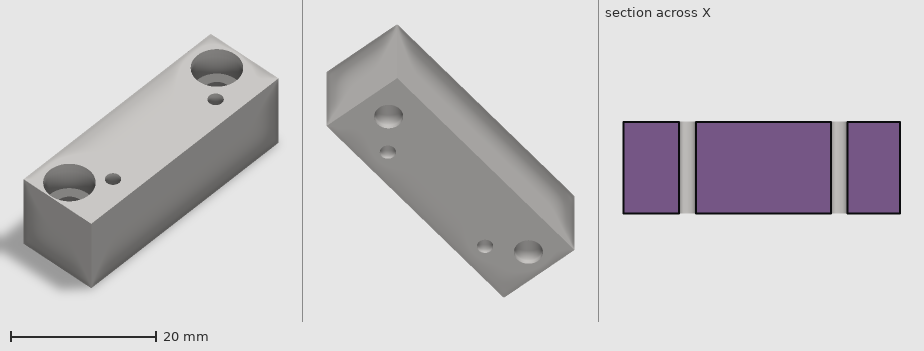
import cadquery as cq

LENGTH = 38.1
WIDTH = 12.7
HEIGHT = 12.7

SCREW_DIAMETER = 4.0
COUNTERBORE_DIAMETER = 7.25
COUNTERBORE_DEPTH = 4.8
SCREW_X = -1.25
SCREW_PITCH = 30.02

PIN_DIAMETER = 2.25
PIN_X = 2.7
PIN_PITCH = 20.88

PAIR_CENTER_Y = -0.23


def pair_points(x, pitch):
    """Return two hole centres spaced along Y about the shared mid-plane."""
    return [(x, PAIR_CENTER_Y + side * pitch / 2) for side in (-1, 1)]


block = cq.Workplane("XY").box(WIDTH, LENGTH, HEIGHT, centered=(True, True, False))

result = (
    block.faces(">Z")
    .workplane(origin=(0, 0, HEIGHT))
    .pushPoints(pair_points(SCREW_X, SCREW_PITCH))
    .cboreHole(SCREW_DIAMETER, COUNTERBORE_DIAMETER, COUNTERBORE_DEPTH)
    .faces(">Z")
    .workplane(origin=(0, 0, HEIGHT))
    .pushPoints(pair_points(PIN_X, PIN_PITCH))
    .hole(PIN_DIAMETER)
)